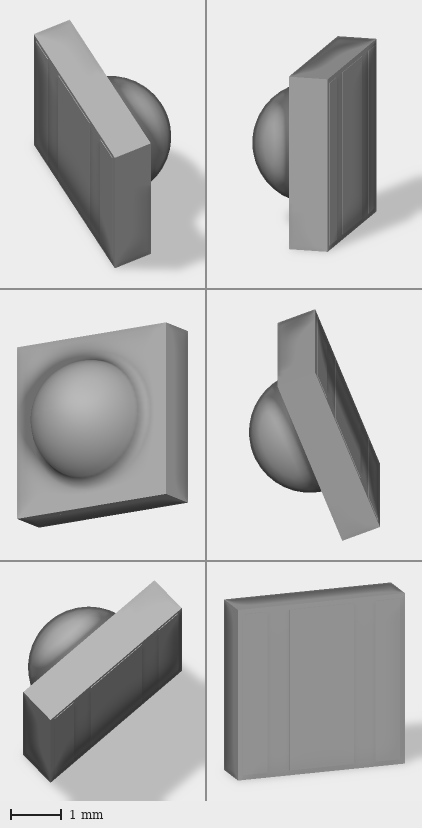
import cadquery as cq
import math


package_side = 3.5
pad_thickness = 0.01
substrate_thickness = 0.6
slab_thickness = 0.2

dome_radius = 1.2
dome_fillet = 0.2

pad_margin = 0.1
side_pad_width = 0.515
center_pad_width = 1.355

mark_side = 0.5
mark_thickness = 0.1

substrate_back = 0.0
substrate_front = substrate_back + substrate_thickness
slab_front = substrate_front + slab_thickness

half_side = package_side / 2
pad_height = package_side - 2 * pad_margin
side_pad_offset = half_side - pad_margin - side_pad_width / 2


def block(width, height, back, thickness, x=0.0, z=0.0):
    """Box centred at (x, z) that extends along +Y from the level 'back'."""
    return cq.Workplane("XY").box(width, thickness, height).translate((x, back + thickness / 2, z))


def make_corner_mark():
    """Square plate let into the front corner of the substrate."""
    center = mark_side / 2 - half_side
    mark_back = substrate_front - mark_thickness
    return block(mark_side, mark_side, mark_back, mark_thickness, center, center)


def make_substrate(mark):
    """Ceramic plate with a matching corner recess for the mark."""
    return block(package_side, package_side, substrate_back, substrate_thickness).cut(mark)


def make_dome():
    """Hemisphere whose foot flares into the slab with a tangent fillet."""
    center_distance = dome_radius + dome_fillet
    foot_radius = math.sqrt(center_distance**2 - dome_fillet**2)
    tangent_ratio = dome_radius / center_distance
    tangent_point = (foot_radius * tangent_ratio, slab_front + dome_fillet * tangent_ratio)

    dome_side_angle = math.pi + math.asin(dome_fillet / center_distance)
    slab_side_angle = 1.5 * math.pi
    middle_angle = (dome_side_angle + slab_side_angle) / 2
    fillet_middle = (
        foot_radius + dome_fillet * math.cos(middle_angle),
        slab_front + dome_fillet + dome_fillet * math.sin(middle_angle),
    )

    dome_middle_angle = (math.asin(dome_fillet / center_distance) + math.pi / 2) / 2
    dome_middle = (
        dome_radius * math.cos(dome_middle_angle),
        slab_front + dome_radius * math.sin(dome_middle_angle),
    )

    root = slab_front - slab_thickness / 2
    return (
        cq.Workplane("XY")
        .moveTo(0, root)
        .lineTo(foot_radius, root)
        .lineTo(foot_radius, slab_front)
        .threePointArc(fillet_middle, tangent_point)
        .threePointArc(dome_middle, (0, slab_front + dome_radius))
        .close()
        .revolve(360, (0, 0, 0), (0, 1, 0))
    )


def make_lens():
    """Silicone slab and dome, moulded in one piece."""
    return block(package_side, package_side, substrate_front, slab_thickness).union(make_dome())


def make_pad(width, x):
    """Solder pad on the back of the substrate."""
    return block(width, pad_height, substrate_back - pad_thickness, pad_thickness, x)


corner_mark = make_corner_mark()
substrate = make_substrate(corner_mark)
lens = make_lens()
center_pad = make_pad(center_pad_width, 0.0)
side_pads = []
for side in (-1, 1):
    side_pads.append(make_pad(side_pad_width, side * side_pad_offset))

result = cq.Compound.makeCompound([
    substrate.val(),
    corner_mark.val(),
    lens.val(),
    center_pad.val(),
    *[pad.val() for pad in side_pads],
])